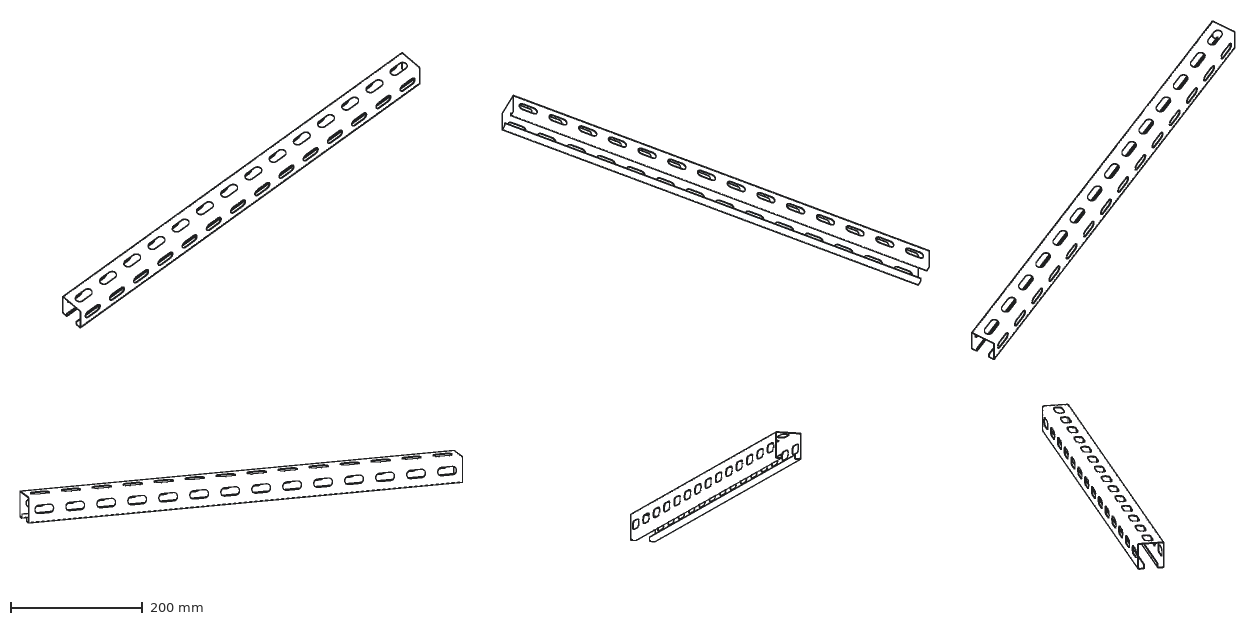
import cadquery as cq

LENGTH = 700.0
SIDE = 41.0

WALL = 1.5
OUTER_BEND_RADIUS = 2.65
INNER_BEND_RADIUS = OUTER_BEND_RADIUS - WALL
MOUTH_WIDTH = 19.5
LIP_HEIGHT = 7.0

SLOT_COUNT = 14
SLOT_PITCH = LENGTH / SLOT_COUNT
SLOT_LENGTH = 30.0
SLOT_WIDTH = 13.0

HALF_SIDE = SIDE / 2
HALF_CAVITY = HALF_SIDE - WALL
HALF_MOUTH = MOUTH_WIDTH / 2
LIP_BACK = HALF_MOUTH + WALL
LIP_TIP = LIP_HEIGHT - HALF_SIDE


def mirrored(points):
    """The same points reflected to the other side of the channel, in reverse order."""
    return [(-x, z) for x, z in reversed(points)]


def fillet_bends(body, corners, radius):
    """Round the lengthwise edges that pass through the given (x, z) corners."""
    for x, z in corners:
        edge = body.edges("|Y").edges(cq.selectors.NearestToPointSelector((x, 0, z)))
        body = edge.fillet(radius)
    return body


def make_channel():
    """Extruded sheet section with concentric radii on all six bends."""
    outer_corners = [
        (HALF_MOUTH, -HALF_SIDE),
        (HALF_SIDE, -HALF_SIDE),
        (HALF_SIDE, HALF_SIDE),
    ]
    inner_corners = [
        (HALF_CAVITY, HALF_CAVITY),
        (HALF_CAVITY, -HALF_CAVITY),
        (LIP_BACK, -HALF_CAVITY),
    ]
    lip_end = [(LIP_BACK, LIP_TIP), (HALF_MOUTH, LIP_TIP)]

    outer_skin = outer_corners + mirrored(outer_corners)
    inner_skin = mirrored(inner_corners) + inner_corners
    section = outer_skin + mirrored(lip_end) + inner_skin + lip_end

    channel = cq.Workplane("XZ").polyline(section).close().extrude(LENGTH / 2, both=True)
    channel = fillet_bends(channel, outer_skin, OUTER_BEND_RADIUS)
    return fillet_bends(channel, inner_skin, INNER_BEND_RADIUS)


def slot_row(plane, both_ways):
    """Cutters for one row of slots along Y, starting from a plane through the channel axis."""
    return (
        cq.Workplane(plane)
        .rarray(7, SLOT_PITCH, 1, SLOT_COUNT)
        .slot2D(SLOT_LENGTH, SLOT_WIDTH, 90)
        .extrude(SIDE, both=both_ways)
    )


top_slots = slot_row("XY", both_ways=False)
side_plane = cq.Plane(origin=(0, 0, 0), xDir=(0, 0, -1), normal=(1, 0, 0))
side_slots = slot_row(side_plane, both_ways=True)

result = make_channel().cut(top_slots).cut(side_slots)